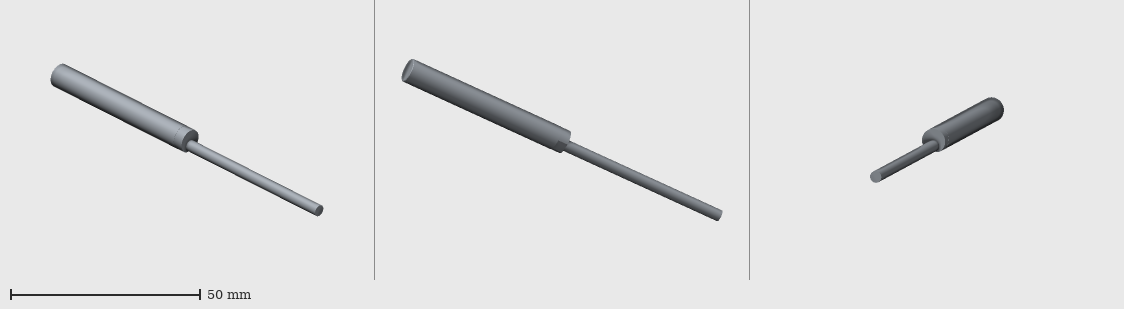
import cadquery as cq

total_length = 95.3
body_length = 45.2
collar_length = 2.9
collar_end = body_length + collar_length

body_diameter = 6.6
collar_diameter = 6.5
cable_diameter = 3.1
end_chamfer = 0.14

flat_depth = 2.9
cable_center_z = cable_diameter / 2 - flat_depth


def rod(diameter, start, end, center_z=0.0):
    """Round bar along X from start to end, centred at the given height."""
    return (
        cq.Workplane("YZ", origin=(start, 0, center_z))
        .circle(diameter / 2)
        .extrude(end - start)
    )


body = rod(body_diameter, 0, body_length).faces("<X").edges().chamfer(end_chamfer)

above_flat = cq.Workplane("XY", origin=(body_length, 0, -flat_depth)).box(
    collar_length, collar_diameter, collar_diameter, centered=(False, True, False)
)
collar = rod(collar_diameter, body_length, collar_end).intersect(above_flat)

cable = rod(cable_diameter, collar_end, total_length, cable_center_z)

result = body.union(collar).union(cable)